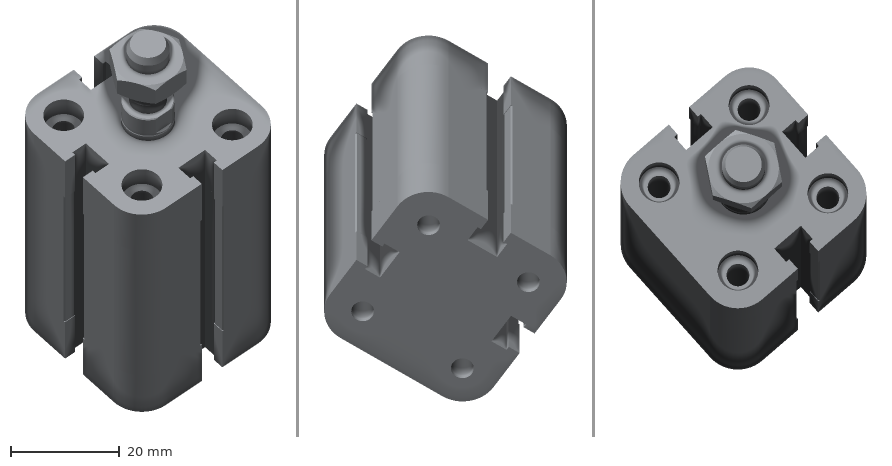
import cadquery as cq
import math

BODY_WIDTH = 36.0
CAP_HEIGHT = 10.5
BARREL_HEIGHT = 36.0
BARREL_BASE = CAP_HEIGHT
FRONT_CAP_BASE = BARREL_BASE + BARREL_HEIGHT
BODY_TOP = FRONT_CAP_BASE + CAP_HEIGHT
CORNER_RADIUS = 6.8

HOLE_OFFSET = 11.0
HOLE_DIAMETER = 4.2
COUNTERBORE_DIAMETER = 7.5
COUNTERBORE_DEPTH = 4.2

SLOT_ANGLES = (-90, 0, 90)
SLOT_DEPTH = 5.7
SLOT_INNER_WIDTH = 6.5
CAP_LIP_DEPTH = 2.4
BARREL_LIP_DEPTH = 2.2
CAP_SLOT_OPENING = 5.0
BARREL_SLOT_OPENING = 5.2
BARREL_MOUTH_WIDTH = 5.8
BARREL_MOUTH_DEPTH = 0.2

ROD_DIAMETER = 10.0
ROD_COLLAR_HEIGHT = 1.2
WRENCH_DIAMETER = 9.8
COLLAR_STEP_HEIGHT = 0.16
WRENCH_FLATS = 9.0
FLATS_BASE = 1.9
SHOULDER_HEIGHT = 6.0
SHOULDER_CHAMFER = 0.2
NECK_DIAMETER = 7.0
THREAD_DIAMETER = 8.0
THREAD_START = 8.4
THREAD_CHAMFER = (THREAD_DIAMETER - NECK_DIAMETER) / 2
TIP_DIAMETER = 6.7
TIP_CHAMFER_HEIGHT = 1.5
ROD_LENGTH = 22.0

NUT_SIDES = 6
NUT_FLATS = 13.0
NUT_THICKNESS = 5.0
NUT_BASE = 13.0
NUT_CHAMFER_ANGLE = 30.0


def outline_cutter(half_outline, height):
    """Prism cut into the -Y side, from (half width, depth) points mirrored about X = 0."""
    mirrored = [(-half_width, depth) for half_width, depth in reversed(half_outline)]
    return (
        cq.Workplane("XY")
        .polyline(half_outline + mirrored)
        .close()
        .extrude(height)
        .translate((0, -BODY_WIDTH / 2, 0))
    )


def slot_cutter(opening, lip_depth, height):
    """T-slot for the -Y side, standing on Z = 0."""
    half_outline = [
        (opening / 2, 0),
        (opening / 2, lip_depth),
        (SLOT_INNER_WIDTH / 2, lip_depth),
        (SLOT_INNER_WIDTH / 2, SLOT_DEPTH),
    ]
    return outline_cutter(half_outline, height)


def bevel_cutter():
    """Wedge that bevels both slot lips of the barrel, widest at the outer face."""
    half_outline = [
        (BARREL_MOUTH_WIDTH / 2, 0),
        (BARREL_SLOT_OPENING / 2, BARREL_MOUTH_DEPTH),
    ]
    return outline_cutter(half_outline, BARREL_HEIGHT)


def body_section(height, slot):
    """Rounded square block with the three slots and four through holes, standing on Z = 0."""
    section = (
        cq.Workplane("XY")
        .box(BODY_WIDTH, BODY_WIDTH, height, centered=(True, True, False))
        .edges("|Z")
        .fillet(CORNER_RADIUS)
        .faces(">Z")
        .workplane()
        .rect(2 * HOLE_OFFSET, 2 * HOLE_OFFSET, forConstruction=True)
        .vertices()
        .hole(HOLE_DIAMETER)
    )
    for angle in SLOT_ANGLES:
        section = section.cut(slot.rotate((0, 0, 0), (0, 0, 1), angle))
    return section


def cap_blank():
    """Cap with straight-lipped slots, standing on Z = 0."""
    slot = slot_cutter(CAP_SLOT_OPENING, CAP_LIP_DEPTH, CAP_HEIGHT)
    return body_section(CAP_HEIGHT, slot)


def make_rear_cap():
    return cap_blank()


def make_barrel():
    slot = slot_cutter(BARREL_SLOT_OPENING, BARREL_LIP_DEPTH, BARREL_HEIGHT)
    bevels = bevel_cutter()
    return body_section(BARREL_HEIGHT, slot.union(bevels)).translate((0, 0, BARREL_BASE))


def make_front_cap():
    """Cap with counterbored mounting holes and a central bore for the rod."""
    return (
        cap_blank()
        .faces(">Z")
        .workplane(origin=(0, 0, CAP_HEIGHT))
        .rect(2 * HOLE_OFFSET, 2 * HOLE_OFFSET, forConstruction=True)
        .vertices()
        .hole(COUNTERBORE_DIAMETER, COUNTERBORE_DEPTH)
        .faces(">Z")
        .workplane(origin=(0, 0, CAP_HEIGHT))
        .hole(ROD_DIAMETER)
        .translate((0, 0, FRONT_CAP_BASE))
    )


def make_rod():
    """Turned rod, from the back of the front cap to the threaded tip, with two wrench flats."""
    wrench_radius = WRENCH_DIAMETER / 2
    runout = (ROD_DIAMETER - WRENCH_FLATS) / 2
    rod = (
        cq.Workplane("XZ")
        .moveTo(0, -CAP_HEIGHT)
        .lineTo(ROD_DIAMETER / 2, -CAP_HEIGHT)
        .lineTo(ROD_DIAMETER / 2, ROD_COLLAR_HEIGHT)
        .lineTo(wrench_radius, ROD_COLLAR_HEIGHT + COLLAR_STEP_HEIGHT)
        .lineTo(wrench_radius, SHOULDER_HEIGHT - SHOULDER_CHAMFER)
        .lineTo(wrench_radius - SHOULDER_CHAMFER, SHOULDER_HEIGHT)
        .lineTo(NECK_DIAMETER / 2, SHOULDER_HEIGHT)
        .lineTo(NECK_DIAMETER / 2, THREAD_START)
        .lineTo(THREAD_DIAMETER / 2, THREAD_START + THREAD_CHAMFER)
        .lineTo(THREAD_DIAMETER / 2, ROD_LENGTH - TIP_CHAMFER_HEIGHT)
        .lineTo(TIP_DIAMETER / 2, ROD_LENGTH)
        .lineTo(0, ROD_LENGTH)
        .close()
        .revolve(360, (0, 0, 0), (0, 1, 0))
    )
    flat_cutter = (
        cq.Workplane("XZ")
        .moveTo(WRENCH_FLATS / 2, FLATS_BASE)
        .lineTo(WRENCH_FLATS / 2, SHOULDER_HEIGHT)
        .lineTo(ROD_DIAMETER / 2, SHOULDER_HEIGHT)
        .lineTo(ROD_DIAMETER / 2, FLATS_BASE - runout)
        .close()
        .extrude(ROD_DIAMETER / 2, both=True)
    )
    for angle in (0, 180):
        rod = rod.cut(flat_cutter.rotate((0, 0, 0), (0, 0, 1), angle))
    return rod.translate((0, 0, BODY_TOP))


def make_nut():
    """Hexagon nut with both faces chamfered down to a circle touching the flats."""
    corner_radius = NUT_FLATS / 2 / math.cos(math.pi / NUT_SIDES)
    face_radius = NUT_FLATS / 2
    chamfer_height = (corner_radius - face_radius) * math.tan(math.radians(NUT_CHAMFER_ANGLE))
    hexagon = (
        cq.Workplane("XY")
        .polygon(NUT_SIDES, 2 * corner_radius)
        .extrude(NUT_THICKNESS)
        .rotate((0, 0, 0), (0, 0, 1), 180 / NUT_SIDES)
    )
    chamfered_round = (
        cq.Workplane("XZ")
        .moveTo(0, 0)
        .lineTo(face_radius, 0)
        .lineTo(corner_radius, chamfer_height)
        .lineTo(corner_radius, NUT_THICKNESS - chamfer_height)
        .lineTo(face_radius, NUT_THICKNESS)
        .lineTo(0, NUT_THICKNESS)
        .close()
        .revolve(360, (0, 0, 0), (0, 1, 0))
    )
    bore = cq.Workplane("XY").circle(THREAD_DIAMETER / 2).extrude(NUT_THICKNESS)
    return hexagon.intersect(chamfered_round).cut(bore).translate((0, 0, BODY_TOP + NUT_BASE))


rear_cap = make_rear_cap()
barrel = make_barrel()
front_cap = make_front_cap()
rod = make_rod()
nut = make_nut()

result = cq.Compound.makeCompound(
    [rear_cap.val(), barrel.val(), front_cap.val(), rod.val(), nut.val()]
)